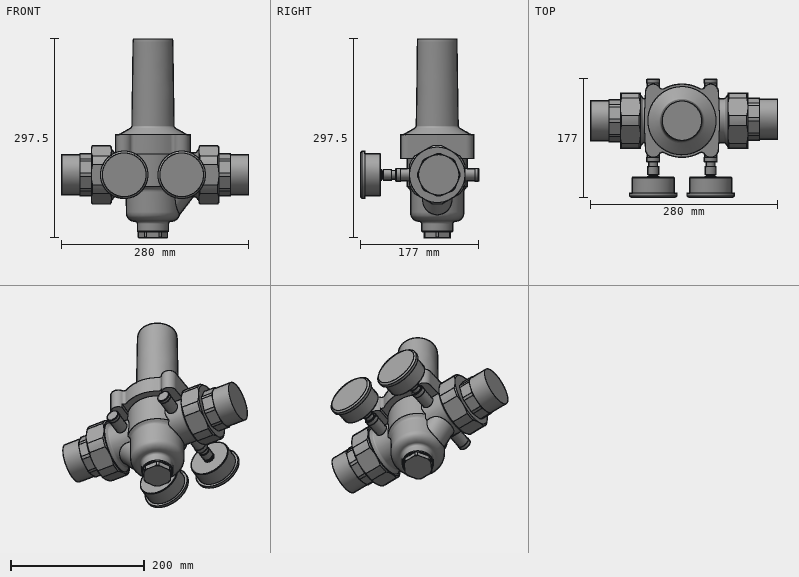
import cadquery as cq
import math


HOUSING_TOP = 203.3
CAP_HEIGHT = 4.5
CAP_RADIUS = 29.4
HOUSING_TOP_RADIUS = 29.9
HOUSING_FOOT_RADIUS = 31.7
HOUSING_FOOT_Z = 73.0
CONE_TOP_RADIUS = 34.2
CONE_TOP_Z = 69.5
CONE_FOOT_RADIUS = 51.0

FLANGE_TOP = 60.0
DISC_BOTTOM = 31.2
POST_BOTTOM = 24.1
DISC_RADIUS = 55.0
POST_CENTER = 43.0
POST_RADIUS = 11.7
POST_FILLET = 5.0
SIDE_PEAK = 56.4

BODY_RADIUS = 45.0
BODY_STEP_Z = -17.5
BOWL_RADIUS = 40.0
STEP_FILLET = 6.0
BOWL_FLOOR = -69.6
BOSS_RADIUS = 23.4
BOSS_FILLET = 4.0
BOWL_FILLET = BOWL_RADIUS - BOSS_RADIUS - BOSS_FILLET
BOSS_BOTTOM = -85.6
BOSS_CHAMFER = 1.3

PLUG_BOTTOM = -94.2
PLUG_ACROSS_FLATS = 40.0
PLUG_RADIUS = 22.1
PLUG_CHAMFER = 0.9

DUCT_RADIUS = 22.5
DUCT_ANGLE = 52.3
DUCT_AXIS_OFFSET = 45.5
DUCT_START = -30.0
DUCT_END = 12.0

PORT_RADIUS = 33.2
SEAT_LENGTH = 5.3
SEAT_FILLET_LENGTH = 2.0
SEAT_ANGLE = 55.0
LEFT_NUT_FACE = 62.2
RIGHT_NUT_FACE = 68.6
NUT_LENGTH = 30.0
NUT_ACROSS_FLATS = 82.6
NUT_RADIUS = 44.0
NUT_CHAMFER_LENGTH = 1.8
NUT_CHAMFER_RISE = 2.6
TAIL_LENGTH = 17.1
TAIL_ACROSS_FLATS = 60.2
TAIL_RADIUS = 31.7
PIPE_LENGTH = 27.5
PIPE_RADIUS = 30.1
RIGHT_TAIL_SHIFT = 2.2

TAP_X = 43.0
TAP_RADIUS = 9.2
TAP_CAP_RADIUS = 9.7
BACK_CAP_START = 56.3
FRONT_CAP_START = 55.0
TAP_END = 62.1
TAP_CHAMFER = 0.8
STEM_RADIUS = 6.7
STEM_NUT_RADIUS = 8.3
STEM_NUT_START = 68.7
STEM_NUT_END = 80.4
NECK_RADIUS = 5.6
NECK_CONE_END = 82.0
COLLAR_START = 83.2
GAUGE_BACK = 84.6
GAUGE_RADIUS = 31.6
GAUGE_CHAMFER = 0.9
BEZEL_START = 108.4
BEZEL_RADIUS = 35.6
BEZEL_CONE_START = 112.6
BEZEL_FACE_RADIUS = 32.7
GAUGE_FRONT = 114.9


def polar(center, radius, angle):
    return (center[0] + radius * math.cos(angle), center[1] + radius * math.sin(angle))


def direction(start, end):
    return math.atan2(end[1] - start[1], end[0] - start[0])


def turned_x(points):
    """Turn an (x, radius) outline about the X axis, closing it along the axis."""
    outline = [(points[0][0], 0)] + points + [(points[-1][0], 0)]
    return cq.Workplane("XY").polyline(outline).close().revolve(360, (0, 0), (1, 0))


def prism_x(start, length, sides, across_flats, corner_angle):
    circumscribed = across_flats / math.cos(math.pi / sides)
    prism = cq.Workplane("YZ").polygon(sides, circumscribed).extrude(length)
    return prism.rotate((0, 0, 0), (1, 0, 0), corner_angle).translate((start, 0, 0))


def make_housing():
    cap_bottom = HOUSING_TOP - CAP_HEIGHT
    return (
        cq.Workplane("XZ")
        .moveTo(0, FLANGE_TOP)
        .lineTo(CONE_FOOT_RADIUS, FLANGE_TOP)
        .lineTo(CONE_TOP_RADIUS, CONE_TOP_Z)
        .tangentArcPoint((HOUSING_FOOT_RADIUS, HOUSING_FOOT_Z), relative=False)
        .lineTo(HOUSING_TOP_RADIUS, cap_bottom)
        .lineTo(CAP_RADIUS, HOUSING_TOP)
        .lineTo(0, HOUSING_TOP)
        .close()
        .revolve(360, (0, 0), (0, 1))
    )


def flange_quarter():
    """One quarter of the flange: half a side face, a round post, a fillet and a disc arc.

    Outside the point where the post meets its fillet, the flange reaches further down.
    """
    post = (POST_CENTER, POST_CENTER)
    post_distance = math.hypot(*post)
    disc_reach = DISC_RADIUS + POST_FILLET
    post_reach = POST_RADIUS + POST_FILLET
    cos_turn = (disc_reach**2 + post_distance**2 - post_reach**2) / (2 * disc_reach * post_distance)
    fillet_angle = math.pi / 4 + math.acos(cos_turn)
    fillet = polar((0, 0), disc_reach, fillet_angle)

    peak = (SIDE_PEAK, 0)
    peak_distance = math.hypot(POST_CENTER - SIDE_PEAK, POST_CENTER)
    side_angle = direction(post, peak) + math.acos(POST_RADIUS / peak_distance)
    inner_angle = direction(post, fillet)
    disc_end = polar((0, 0), DISC_RADIUS, fillet_angle)
    toward_post = direction(fillet, post)
    toward_disc = direction(fillet, (0, 0))
    post_end = polar(post, POST_RADIUS, inner_angle)
    full_depth = (
        cq.Workplane("XY", origin=(0, 0, POST_BOTTOM))
        .lineTo(*peak)
        .lineTo(*polar(post, POST_RADIUS, side_angle))
        .threePointArc(
            polar(post, POST_RADIUS, (side_angle + inner_angle) / 2),
            post_end,
        )
        .threePointArc(polar(fillet, POST_FILLET, (toward_post + toward_disc) / 2), disc_end)
        .threePointArc(polar((0, 0), DISC_RADIUS, (fillet_angle + math.pi / 2) / 2), (0, DISC_RADIUS))
        .close()
        .extrude(FLANGE_TOP - POST_BOTTOM)
    )
    relief = cq.Workplane("XY", origin=(0, 0, POST_BOTTOM)).box(
        post_end[0], DISC_RADIUS, DISC_BOTTOM - POST_BOTTOM, centered=False
    )
    return full_depth.cut(relief)


def make_flange():
    quarter = flange_quarter()
    half = quarter.union(quarter.mirror("XZ"))
    return half.union(half.mirror("YZ"))


def make_bowl():
    step_meet_z = BODY_STEP_Z - (BODY_RADIUS - BOWL_RADIUS)
    setback = STEP_FILLET * math.tan(math.pi / 8)
    diagonal_setback = setback * math.sin(math.pi / 4)
    half_turn = math.sin(math.pi / 4)
    bowl_center = (BOWL_RADIUS - BOWL_FILLET, BOWL_FLOOR + BOWL_FILLET)
    boss_center = (BOSS_RADIUS + BOSS_FILLET, BOWL_FLOOR - BOSS_FILLET)
    return (
        cq.Workplane("XZ")
        .moveTo(0, FLANGE_TOP)
        .lineTo(BODY_RADIUS, FLANGE_TOP)
        .lineTo(BODY_RADIUS, BODY_STEP_Z)
        .lineTo(BOWL_RADIUS + diagonal_setback, step_meet_z + diagonal_setback)
        .tangentArcPoint((BOWL_RADIUS, step_meet_z - setback), relative=False)
        .lineTo(BOWL_RADIUS, bowl_center[1])
        .threePointArc(
            (bowl_center[0] + BOWL_FILLET * half_turn, bowl_center[1] - BOWL_FILLET * half_turn),
            (bowl_center[0], BOWL_FLOOR),
        )
        .threePointArc(
            (boss_center[0] - BOSS_FILLET * half_turn, boss_center[1] + BOSS_FILLET * half_turn),
            (BOSS_RADIUS, boss_center[1]),
        )
        .lineTo(BOSS_RADIUS, BOSS_BOTTOM + BOSS_CHAMFER)
        .lineTo(BOSS_RADIUS - BOSS_CHAMFER, BOSS_BOTTOM)
        .lineTo(0, BOSS_BOTTOM)
        .close()
        .revolve(360, (0, 0), (0, 1))
    )


def make_plug():
    height = BOSS_BOTTOM - PLUG_BOTTOM
    corner_diameter = PLUG_ACROSS_FLATS / math.cos(math.pi / 6)
    base = cq.Workplane("XY", origin=(0, 0, PLUG_BOTTOM))
    hexagon = base.polygon(6, corner_diameter).extrude(height)
    return base.circle(PLUG_RADIUS).extrude(height).faces("<Z").chamfer(PLUG_CHAMFER).intersect(hexagon)


def make_duct():
    angle = math.radians(DUCT_ANGLE)
    along = cq.Vector(math.cos(angle), 0, math.sin(angle))
    outward = cq.Vector(math.sin(angle), 0, -math.cos(angle))
    start = outward * DUCT_AXIS_OFFSET + along * DUCT_START
    return cq.Workplane(cq.Solid.makeCylinder(DUCT_RADIUS, DUCT_END - DUCT_START, start, along))


def make_port(nut_face, tail_shift):
    """One port toward +X: neck, flared seat, union nut, octagonal tail and pipe end."""
    nut_end = nut_face + NUT_LENGTH
    tail_end = nut_end + TAIL_LENGTH
    neck_end = nut_face - SEAT_LENGTH
    seat_start = neck_end + SEAT_FILLET_LENGTH
    seat_angle = math.radians(SEAT_ANGLE)
    seat_start_radius = PORT_RADIUS + SEAT_FILLET_LENGTH * math.tan(seat_angle / 2)
    seat_end_radius = seat_start_radius + (nut_face - seat_start) * math.tan(seat_angle)
    neck = (
        cq.Workplane("XY")
        .lineTo(0, PORT_RADIUS)
        .lineTo(neck_end, PORT_RADIUS)
        .tangentArcPoint((seat_start, seat_start_radius), relative=False)
        .lineTo(nut_face, seat_end_radius)
        .lineTo(nut_face, 0)
        .close()
        .revolve(360, (0, 0), (1, 0))
    )
    nut_round = turned_x([
        (nut_face, NUT_RADIUS - NUT_CHAMFER_RISE),
        (nut_face + NUT_CHAMFER_LENGTH, NUT_RADIUS),
        (nut_end - NUT_CHAMFER_LENGTH, NUT_RADIUS),
        (nut_end, NUT_RADIUS - NUT_CHAMFER_RISE),
    ])
    nut = prism_x(nut_face, NUT_LENGTH, 6, NUT_ACROSS_FLATS, 90).intersect(nut_round)
    tail_round = turned_x([(nut_end, TAIL_RADIUS), (tail_end, TAIL_RADIUS)])
    tail = prism_x(nut_end, TAIL_LENGTH, 8, TAIL_ACROSS_FLATS, 0).intersect(tail_round)
    pipe = turned_x([(tail_end, PIPE_RADIUS), (tail_end + PIPE_LENGTH, PIPE_RADIUS)])
    return neck.union(nut).union(tail.union(pipe).translate((0, tail_shift, 0)))


def make_tap():
    """Gauge tap through the body along Y, with a gauge on its far end, turned on X and swung to -Y."""
    tap = turned_x([
        (-TAP_END, TAP_CAP_RADIUS - TAP_CHAMFER),
        (-TAP_END + TAP_CHAMFER, TAP_CAP_RADIUS),
        (-BACK_CAP_START, TAP_CAP_RADIUS),
        (-BACK_CAP_START, TAP_RADIUS),
        (FRONT_CAP_START, TAP_RADIUS),
        (FRONT_CAP_START, TAP_CAP_RADIUS),
        (TAP_END - TAP_CHAMFER, TAP_CAP_RADIUS),
        (TAP_END, TAP_CAP_RADIUS - TAP_CHAMFER),
        (TAP_END, STEM_RADIUS),
        (STEM_NUT_START, STEM_RADIUS),
        (STEM_NUT_START, STEM_NUT_RADIUS),
        (STEM_NUT_END, STEM_NUT_RADIUS),
        (NECK_CONE_END, NECK_RADIUS),
        (COLLAR_START, NECK_RADIUS),
        (COLLAR_START, STEM_NUT_RADIUS),
        (GAUGE_BACK, STEM_NUT_RADIUS),
        (GAUGE_BACK, GAUGE_RADIUS - GAUGE_CHAMFER),
        (GAUGE_BACK + GAUGE_CHAMFER, GAUGE_RADIUS),
        (BEZEL_START, GAUGE_RADIUS),
        (BEZEL_START, BEZEL_RADIUS),
        (BEZEL_CONE_START, BEZEL_RADIUS),
        (GAUGE_FRONT, BEZEL_FACE_RADIUS),
    ])
    return tap.rotate((0, 0, 0), (0, 0, 1), -90)


right_port = make_port(RIGHT_NUT_FACE, RIGHT_TAIL_SHIFT)
left_port = make_port(LEFT_NUT_FACE, 0).mirror("YZ")

result = make_bowl().union(make_flange()).union(make_housing()).union(make_plug())
result = result.union(right_port).union(left_port).union(make_duct())
for tap_x in (-TAP_X, TAP_X):
    result = result.union(make_tap().translate((tap_x, 0, 0)))